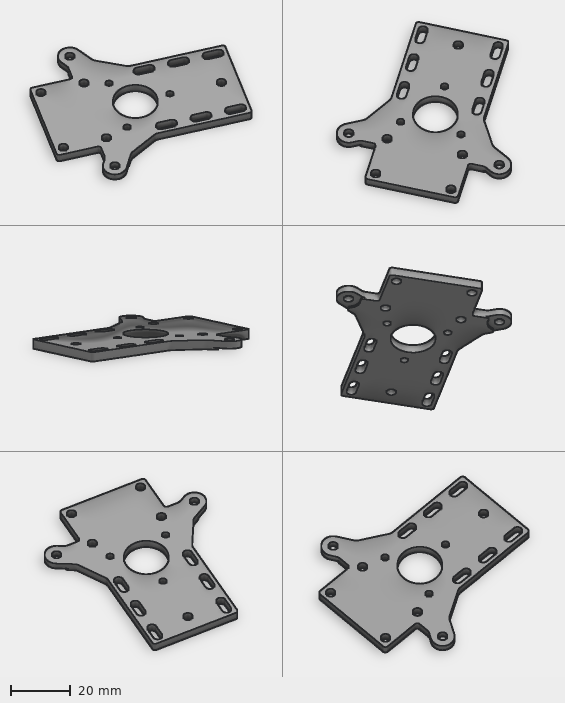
import cadquery as cq
import math

THICKNESS = 3.2
HALF_WIDTH = 16.0
TOP_Y = 36.0
BOTTOM_Y = TOP_Y - 68
CORNER_RADIUS = 1.0
BEND_RADIUS = 3.0

ARM_ANGLE = math.radians(30)
FLANK_ANGLE = math.radians(60)
EAR_DISTANCE = 30.0
EAR_RADIUS = 4.0
FLANK_TOP_Y = 2.4
SHOULDER_Y = -17.0
EAR_RELIEF = 0.7

BORE_DIAMETER = 15.0
MOTOR_HOLE_DIAMETER = 2.5
MOTOR_HOLE_CIRCLE_RADIUS = 12.05
SCREW_DIAMETER = 3.2
SCREW_X = 13.0
SCREW_ROWS_Y = (-14.0, -29.05)
TOP_HOLE_Y = 30.0
SLOT_LENGTH = 7.2
SLOT_TOP_Y = 31.0
SLOT_PITCH = 12.05
SLOT_COUNT = 3

EAR_X = EAR_DISTANCE * math.cos(ARM_ANGLE)
EAR_Y = -EAR_DISTANCE * math.sin(ARM_ANGLE)
ARM_SLOPE = math.tan(ARM_ANGLE)
FLANK_SLOPE = math.tan(FLANK_ANGLE)

EDGE_OFFSET = EAR_RADIUS / math.cos(ARM_ANGLE)
FLANK_FOOT_X = (FLANK_TOP_Y + FLANK_SLOPE * HALF_WIDTH - EDGE_OFFSET) / (FLANK_SLOPE - ARM_SLOPE)
FLANK_FOOT_Y = EDGE_OFFSET - ARM_SLOPE * FLANK_FOOT_X
SHOULDER_X = (-EDGE_OFFSET - SHOULDER_Y) / ARM_SLOPE


def from_ear(along, across):
    """Point relative to the right ear: along the arm towards the bore, and across it upwards."""
    x = EAR_X - along * math.cos(ARM_ANGLE) + across * math.sin(ARM_ANGLE)
    y = EAR_Y + along * math.sin(ARM_ANGLE) + across * math.cos(ARM_ANGLE)
    return (x, y)


def toward(start, end, distance):
    """Point at a distance from start in the direction of end."""
    ratio = distance / math.dist(start, end)
    return (start[0] + ratio * (end[0] - start[0]), start[1] + ratio * (end[1] - start[1]))


def mirrored(solid):
    return solid.union(solid.mirror("YZ"))


def round_edges(solid, points, radius):
    """Fillet the vertical edges standing at the points and at their mirror images."""
    half_size = 0.1
    for x, y in points:
        for side in (-1, 1):
            box = cq.selectors.BoxSelector(
                (side * x - half_size, y - half_size, -0.7),
                (side * x + half_size, y + half_size, THICKNESS + 0.7),
            )
            solid = solid.edges("|Z").edges(box).fillet(radius)
    return solid


def make_plate():
    body = (
        cq.Workplane("XY")
        .rect(2 * HALF_WIDTH, TOP_Y - BOTTOM_Y)
        .extrude(THICKNESS)
        .translate((0, (TOP_Y + BOTTOM_Y) / 2, 0))
    )
    arm = (
        cq.Workplane("XY")
        .moveTo(0, FLANK_TOP_Y)
        .lineTo(HALF_WIDTH, FLANK_TOP_Y)
        .lineTo(FLANK_FOOT_X, FLANK_FOOT_Y)
        .lineTo(*from_ear(0, EAR_RADIUS))
        .threePointArc(from_ear(-EAR_RADIUS, 0), from_ear(0, -EAR_RADIUS))
        .lineTo(SHOULDER_X, SHOULDER_Y)
        .lineTo(0, SHOULDER_Y)
        .close()
        .extrude(THICKNESS)
    )
    plate = body.union(mirrored(arm)).clean()
    bends = [(HALF_WIDTH, FLANK_TOP_Y), (FLANK_FOOT_X, FLANK_FOOT_Y), (SHOULDER_X, SHOULDER_Y)]
    corners = [(HALF_WIDTH, TOP_Y), (HALF_WIDTH, BOTTOM_Y), (HALF_WIDTH, SHOULDER_Y)]
    plate = round_edges(plate, bends, BEND_RADIUS)
    return round_edges(plate, corners, CORNER_RADIUS)


def make_ear_relief():
    """Round step around the ear, blended into the arm edges by convex corner arcs."""
    ear = (EAR_X, EAR_Y)
    reach = EAR_RADIUS + CORNER_RADIUS

    upper_across = EAR_RADIUS - CORNER_RADIUS
    upper_along = math.sqrt(reach**2 - upper_across**2)
    upper_center = from_ear(upper_along, upper_across)
    upper_end = from_ear(upper_along, EAR_RADIUS)
    upper_touch = toward(ear, upper_center, EAR_RADIUS)
    upper_middle = toward(upper_center, from_ear(0, EAR_RADIUS), CORNER_RADIUS)

    bend_center = (
        SHOULDER_X - BEND_RADIUS * math.tan(ARM_ANGLE / 2),
        SHOULDER_Y - BEND_RADIUS,
    )
    bend_reach = BEND_RADIUS + CORNER_RADIUS
    span = math.dist(ear, bend_center)
    base = (reach**2 - bend_reach**2 + span**2) / (2 * span)
    height = math.sqrt(reach**2 - base**2)
    foot = toward(ear, bend_center, base)
    lower_center = (
        foot[0] + height * (bend_center[1] - EAR_Y) / span,
        foot[1] - height * (bend_center[0] - EAR_X) / span,
    )
    lower_end = toward(lower_center, bend_center, CORNER_RADIUS)
    lower_touch = toward(ear, lower_center, EAR_RADIUS)
    lower_middle = toward(lower_center, from_ear(0, -EAR_RADIUS), CORNER_RADIUS)

    clear = 2 * EAR_RADIUS
    return (
        cq.Workplane("XY")
        .moveTo(*upper_end)
        .threePointArc(upper_middle, upper_touch)
        .threePointArc(from_ear(EAR_RADIUS, 0), lower_touch)
        .threePointArc(lower_middle, lower_end)
        .lineTo(*bend_center)
        .lineTo(*from_ear(0, -clear))
        .lineTo(*from_ear(-clear, -clear))
        .lineTo(*from_ear(-clear, clear))
        .lineTo(*from_ear(upper_along, clear))
        .close()
        .extrude(EAR_RELIEF)
    )


def make_holes(points, diameter):
    return cq.Workplane("XY").pushPoints(points).circle(diameter / 2).extrude(THICKNESS)


def make_slots():
    points = [
        (side * SCREW_X, SLOT_TOP_Y - row * SLOT_PITCH)
        for side in (-1, 1)
        for row in range(SLOT_COUNT)
    ]
    return cq.Workplane("XY").pushPoints(points).slot2D(SLOT_LENGTH, SCREW_DIAMETER, 90).extrude(THICKNESS)


motor_holes = [
    (MOTOR_HOLE_CIRCLE_RADIUS * math.cos(angle), MOTOR_HOLE_CIRCLE_RADIUS * math.sin(angle))
    for angle in (math.radians(degrees) for degrees in (90, 210, 330))
]
screw_holes = [(0, TOP_HOLE_Y)]
for side in (-1, 1):
    screw_holes.append((side * EAR_X, EAR_Y))
    for row_y in SCREW_ROWS_Y:
        screw_holes.append((side * SCREW_X, row_y))

result = (
    make_plate()
    .cut(mirrored(make_ear_relief()))
    .cut(make_holes([(0, 0)], BORE_DIAMETER))
    .cut(make_holes(motor_holes, MOTOR_HOLE_DIAMETER))
    .cut(make_holes(screw_holes, SCREW_DIAMETER))
    .cut(make_slots())
)